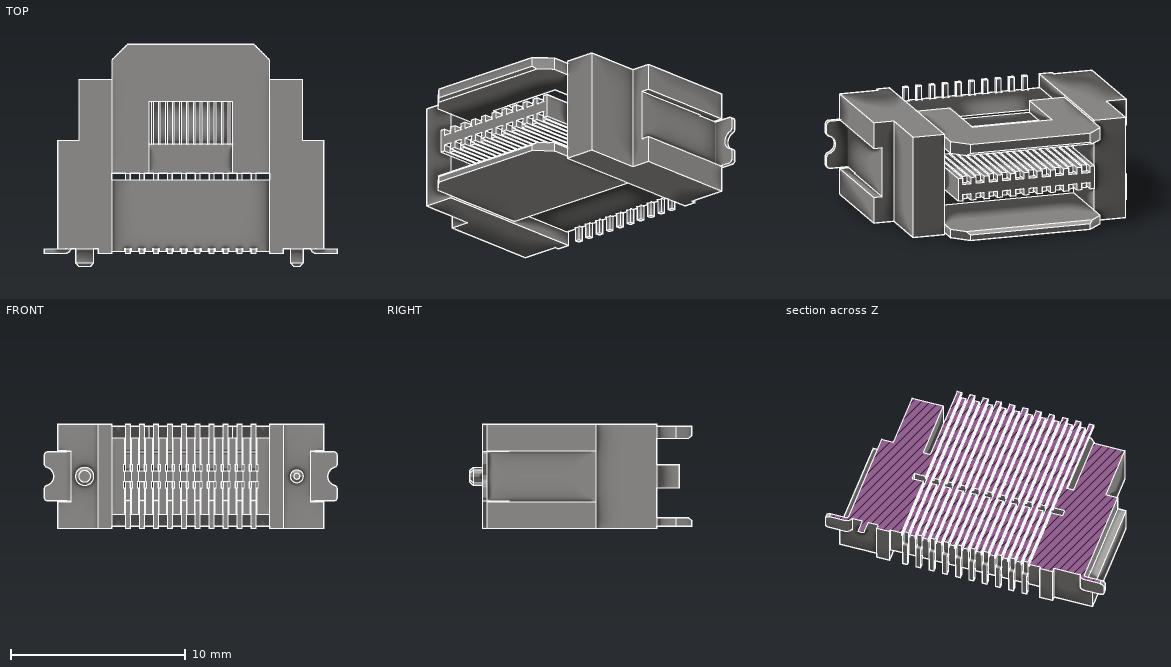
import cadquery as cq


height = 6.0
half_height = height / 2
housing_half_width = 7.63
wing_half_width = 6.42
mouth_half_width = 4.52
foot_half_width = 5.31
standoff = 0.27
shoulder_y = 6.5
wing_top_y = 10.0

block_half_height = 2.2
block_start_y = 0.12
block_end_y = 4.23

shroud_start_y = 4.6
shroud_floor_y = 6.28
shroud_tip_y = 12.01
shroud_half_height = 2.87
upper_plate_thickness = 0.7
lower_plate_thickness = 0.5
corner_chamfer = 0.9
lead_in_depth = 0.17
lead_in_length = 0.2
window_half_width = 2.4
window_end_y = 8.72

tongue_half_width = 4.12
tongue_half_height = 0.67
tongue_tip_y = 11.29

contacts_per_row = 10
contact_pitch = 0.8
contact_width = 0.29
contact_thickness = 0.27
contact_tip_y = 10.92
groove_width = 0.49
groove_floor_z = 0.3
tail_slot_width = 0.39
jog_top_z = 1.51
jog_radius = 0.12
riser_front_y = 0.25
riser_bend_radius = 0.15

tab_half_width = 8.4
tab_half_height = 1.41
tab_thickness = standoff
tab_inner_x = 6.85
tab_leg_end_y = 1.51
tab_bend_radius = 0.1
tab_corner_radius = 0.2
tab_notch_radius = 0.54
recess_half_height = 1.46

peg_x = 6.08
peg_length = 0.74
peg_tip_length = 0.22
left_peg_diameter = 1.05
left_peg_tip_diameter = 0.67
right_peg_diameter = 0.74
right_peg_tip_diameter = 0.34

contact_xs = [contact_pitch * (i - (contacts_per_row - 1) / 2) for i in range(contacts_per_row)]
riser_back_y = riser_front_y + contact_thickness
tab_leg_outer_x = tab_inner_x + tab_thickness


def box(x0, x1, y0, y1, z0, z1):
    """Box given by its limits along each axis."""
    return cq.Workplane("XY").box(x1 - x0, y1 - y0, z1 - z0, centered=False).translate((x0, y0, z0))


def mirror_x(shape):
    return shape.mirror("YZ")


def make_wing():
    """Stepped +X end of the housing with its foot rib and the recess for the solder tab."""
    wing = (
        cq.Workplane("XY", origin=(0, 0, -half_height))
        .moveTo(mouth_half_width, 0)
        .lineTo(foot_half_width, 0)
        .lineTo(foot_half_width, standoff)
        .lineTo(housing_half_width, standoff)
        .lineTo(housing_half_width, shoulder_y)
        .lineTo(wing_half_width, shoulder_y)
        .lineTo(wing_half_width, wing_top_y)
        .lineTo(mouth_half_width, wing_top_y)
        .close()
        .extrude(height)
    )
    recess = box(
        tab_leg_outer_x, housing_half_width, standoff, shoulder_y, -recess_half_height, recess_half_height
    )
    leg_slot = box(
        tab_inner_x, tab_leg_outer_x, standoff, tab_leg_end_y, -recess_half_height, recess_half_height
    )
    return wing.cut(recess).cut(leg_slot)


def make_tab():
    """L-shaped +X solder tab: a notched pad bent up into a leg."""
    leg_and_pad = (
        cq.Workplane("XY", origin=(0, 0, -tab_half_height))
        .moveTo(tab_inner_x, tab_leg_end_y)
        .lineTo(tab_inner_x, 0)
        .lineTo(tab_half_width, 0)
        .lineTo(tab_half_width, tab_thickness)
        .lineTo(tab_leg_outer_x, tab_thickness)
        .lineTo(tab_leg_outer_x, tab_leg_end_y)
        .close()
        .extrude(2 * tab_half_height)
    )
    outer_bend = cq.selectors.NearestToPointSelector((tab_inner_x, 0, 0))
    inner_bend = cq.selectors.NearestToPointSelector((tab_leg_outer_x, tab_thickness, 0))
    tab = leg_and_pad.edges(outer_bend).fillet(tab_bend_radius + tab_thickness)
    tab = tab.edges(inner_bend).fillet(tab_bend_radius)
    notch = (
        cq.Workplane("XZ")
        .center(tab_half_width, 0)
        .circle(tab_notch_radius)
        .extrude(-tab_thickness)
    )
    tab = tab.cut(notch)
    return tab.edges("|Y and >X").fillet(tab_corner_radius)


def make_shroud():
    """Two plates, with a rear wall between them, that form the mating mouth."""
    upper_inner_z = shroud_half_height - upper_plate_thickness
    lower_inner_z = lower_plate_thickness - shroud_half_height
    lead_in_y = shroud_tip_y - lead_in_length
    side_outline = [
        (shroud_start_y, -shroud_half_height),
        (shroud_tip_y, -shroud_half_height),
        (shroud_tip_y, lower_inner_z - lead_in_depth),
        (lead_in_y, lower_inner_z),
        (shroud_floor_y, lower_inner_z),
        (shroud_floor_y, upper_inner_z),
        (lead_in_y, upper_inner_z),
        (shroud_tip_y, upper_inner_z + lead_in_depth),
        (shroud_tip_y, shroud_half_height),
        (shroud_start_y, shroud_half_height),
    ]
    shroud = cq.Workplane("YZ").polyline(side_outline).close().extrude(mouth_half_width, both=True)
    plan = (
        box(
            -mouth_half_width, mouth_half_width, shroud_start_y, shroud_tip_y,
            -shroud_half_height, shroud_half_height,
        )
        .edges("|Z and >Y")
        .chamfer(corner_chamfer)
    )
    window = box(
        -window_half_width, window_half_width, shroud_start_y, window_end_y,
        upper_inner_z, shroud_half_height,
    )
    return shroud.intersect(plan).cut(window)


def make_tongue():
    return box(
        -tongue_half_width, tongue_half_width, shroud_floor_y, tongue_tip_y,
        -tongue_half_height, tongue_half_height,
    )


def make_block():
    return box(
        -mouth_half_width, mouth_half_width, block_start_y, block_end_y,
        -block_half_height, block_half_height,
    )


def make_contact_cavity():
    """Space around one upper and one lower contact, at X = 0."""
    cavity = box(
        -tail_slot_width / 2, tail_slot_width / 2, block_start_y, contact_thickness,
        -block_half_height, block_half_height,
    )
    for side in (1, -1):
        pocket_z = sorted((side * groove_floor_z, side * jog_top_z))
        groove_z = sorted((side * groove_floor_z, side * tongue_half_height))
        pocket = box(
            -tail_slot_width / 2, tail_slot_width / 2, block_start_y,
            riser_back_y, *pocket_z
        )
        groove = box(-groove_width / 2, groove_width / 2, block_start_y, tongue_tip_y, *groove_z)
        cavity = cavity.union(pocket).union(groove)
    return cavity


def make_contact_pair():
    """Upper contact and its mirrored lower twin, at X = 0."""
    jog_z = jog_top_z - jog_radius
    upper = (
        cq.Workplane("YZ", origin=(-contact_width / 2, 0, 0))
        .moveTo(0, half_height)
        .lineTo(contact_thickness, half_height)
        .lineTo(contact_thickness, jog_top_z)
        .lineTo(riser_back_y, jog_top_z)
        .lineTo(riser_back_y, tongue_half_height)
        .lineTo(contact_tip_y, tongue_half_height)
        .lineTo(contact_tip_y, groove_floor_z)
        .lineTo(riser_front_y + riser_bend_radius, groove_floor_z)
        .radiusArc((riser_front_y, groove_floor_z + riser_bend_radius), riser_bend_radius)
        .lineTo(riser_front_y, jog_z - jog_radius)
        .radiusArc((riser_front_y - jog_radius, jog_z), -jog_radius)
        .lineTo(jog_radius, jog_z)
        .radiusArc((0, jog_top_z), jog_radius)
        .close()
        .extrude(contact_width)
    )
    return upper.union(upper.mirror("XY"))


def make_peg(x, diameter, tip_diameter):
    """Peg pointing to -Y with a conical tip."""
    return (
        cq.Workplane("XY")
        .moveTo(0, standoff)
        .lineTo(-diameter / 2, standoff)
        .lineTo(-diameter / 2, peg_tip_length - peg_length)
        .lineTo(-tip_diameter / 2, -peg_length)
        .lineTo(0, -peg_length)
        .close()
        .revolve(360, (0, 0, 0), (0, 1, 0))
        .translate((x, 0, 0))
    )


wing = make_wing()
tab = make_tab()
result = make_block().union(make_shroud()).union(make_tongue())

cavity = make_contact_cavity()
contact_pair = make_contact_pair()
for x in contact_xs:
    result = result.cut(cavity.translate((x, 0, 0)))
for x in contact_xs:
    result = result.union(contact_pair.translate((x, 0, 0)))

for end_part in (wing, tab):
    result = result.union(end_part).union(mirror_x(end_part))

result = result.union(make_peg(-peg_x, left_peg_diameter, left_peg_tip_diameter))
result = result.union(make_peg(peg_x, right_peg_diameter, right_peg_tip_diameter))